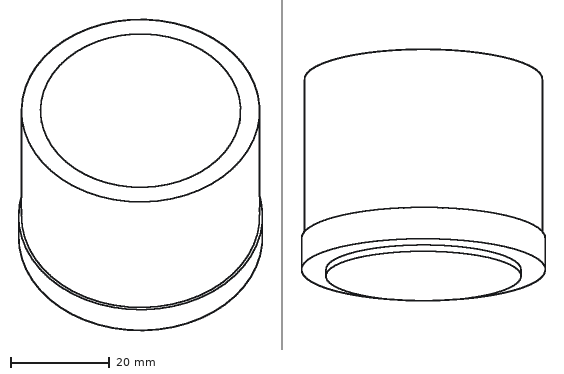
import cadquery as cq

flange_diameter = 49.55
body_diameter = 48.35
foot_diameter = 39.6
foot_height = 1.35
flange_height = 6.6
total_height = 41.25

mouth_diameter = 40.6
floor_diameter = 38.0
floor_height = 6.0
floor_fillet = 1.4


def cylinder(diameter, bottom, top):
    return cq.Workplane("XY").workplane(offset=bottom).circle(diameter / 2).extrude(top - bottom)


flange_top = foot_height + flange_height
foot = cylinder(foot_diameter, 0, foot_height)
flange = cylinder(flange_diameter, foot_height, flange_top)
body = cylinder(body_diameter, flange_top, total_height)

cavity = (
    cq.Workplane("XY")
    .workplane(offset=floor_height)
    .circle(floor_diameter / 2)
    .workplane(offset=total_height - floor_height)
    .circle(mouth_diameter / 2)
    .loft(ruled=True)
    .faces("<Z")
    .edges()
    .fillet(floor_fillet)
)

result = foot.union(flange).union(body).cut(cavity)